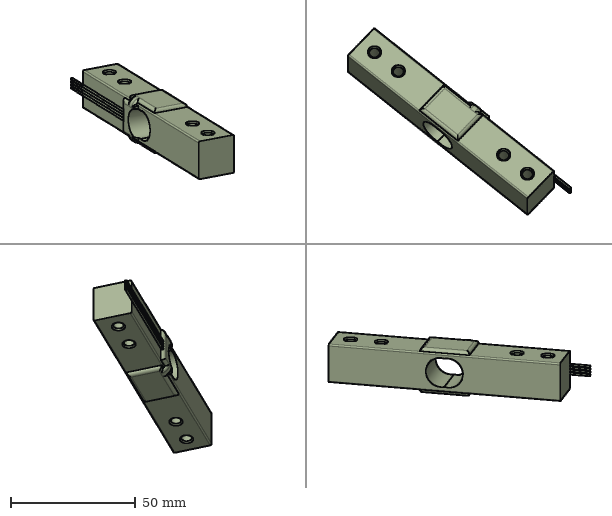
import cadquery as cq


overall_length = 104.5
overall_height = 19.3

bar_length = 96.2
bar_size = 16.3
bar_fillet = 0.6

bore_radius = 6.2
bore_spacing = 3.0

hole_offsets = (28.2, 41.0)
hole_diameter = 4.2
countersink_diameter = 5.4
countersink_depth = (countersink_diameter - hole_diameter) / 2

cover_height = (overall_height - bar_size) / 2
cover_fillet = cover_height
main_cover_length = 20.6
side_cover_length = 10.7
side_cover_center = -7.5
cover_width = bar_size - 2 * bar_fillet

bridge_length = 5.0
bridge_center = -6.1
bridge_radius = cover_height + bar_fillet + cover_fillet
bridge_end_fillet = 1.5
bridge_block = 6.3

wire_count = 4
wire_diameter = 0.9
wire_pitch = 1.3
wire_gap = 0.05
wire_embed = 1.6

half_bar = bar_size / 2
cover_plane = half_bar + cover_height
side_cover_start = side_cover_center - side_cover_length / 2


def make_bar():
    bar = cq.Workplane("XY").box(bar_length, bar_size, bar_size)
    return bar.edges("|X").fillet(bar_fillet)


def make_cover(length, center_x):
    """Rounded pad standing on the top of the bar, its root sunk into the bar."""
    depth = 2 * cover_height
    pad = cq.Workplane("XY").box(length, cover_width, depth, centered=(True, True, False))
    pad = pad.faces(">Z").edges().fillet(cover_fillet)
    return pad.translate((center_x, 0, cover_plane - depth))


def make_bridge():
    """Rounded block over the front top corner of the bar."""
    block = cq.Workplane("XY").box(
        bridge_length, bridge_block, bridge_block, centered=(True, False, False)
    )
    block = block.translate((bridge_center, -cover_plane, cover_plane - bridge_block))
    block = block.edges("|X and >Z and <Y").fillet(bridge_radius)
    ends = block.faces("<Y or >Z").edges("not |X")
    return ends.fillet(bridge_end_fillet)


def make_wires():
    start_x = bar_length / 2 - overall_length
    length = side_cover_start + wire_embed - start_x
    center_y = -half_bar - wire_gap - wire_diameter / 2
    return (
        cq.Workplane("YZ", origin=(start_x, center_y, 0))
        .rarray(1, wire_pitch, 1, wire_count)
        .circle(wire_diameter / 2)
        .extrude(length)
    )


def cut_window(body):
    for center_x in (-bore_spacing / 2, bore_spacing / 2):
        bore = (
            cq.Workplane("XZ")
            .center(center_x, 0)
            .circle(bore_radius)
            .extrude(2 * cover_plane, both=True)
        )
        body = body.cut(bore)
    return body


def mirrored_in_z(shape):
    return shape.union(shape.mirror("XY"))


def drill_mounting_holes(body):
    for offset in hole_offsets:
        for side in (-1, 1):
            hole = cq.Workplane("XY").circle(hole_diameter / 2).extrude(half_bar)
            sink = (
                cq.Workplane("XY", origin=(0, 0, half_bar - countersink_depth))
                .circle(hole_diameter / 2)
                .workplane(offset=countersink_depth)
                .circle(countersink_diameter / 2)
                .loft()
            )
            body = body.cut(mirrored_in_z(hole.union(sink)).translate((side * offset, 0, 0)))
    return body


main_cover = make_cover(main_cover_length, 0)
side_cover = make_cover(side_cover_length, side_cover_center).rotate((0, 0, 0), (1, 0, 0), 90)
bridge = make_bridge()

result = make_bar()
for addition in (main_cover, main_cover.mirror("XY"), side_cover, bridge, bridge.mirror("XY")):
    result = result.union(addition)
result = drill_mounting_holes(cut_window(result))
result = result.union(make_wires())